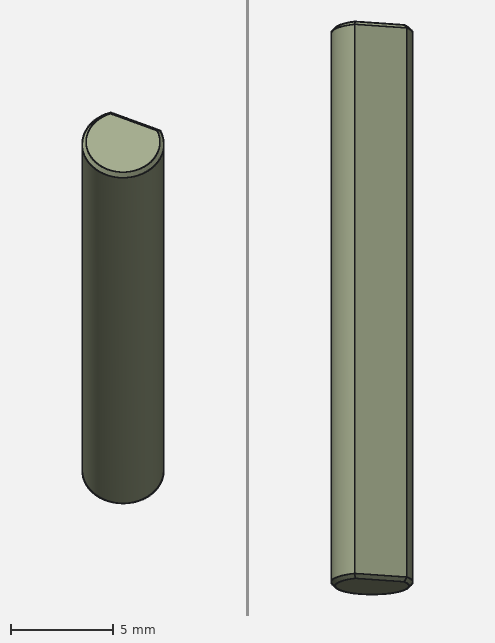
import cadquery as cq

length = 28.0
diameter = 4.0
depth_across_flat = 3.5
end_chamfer = 0.2

radius = diameter / 2
flat_y = depth_across_flat - radius

bar = cq.Workplane("XY").circle(radius).extrude(length)

flat_cutter = (
    cq.Workplane("XY")
    .box(diameter, diameter, length, centered=(True, False, False))
    .translate((0, flat_y, 0))
)
pin = bar.cut(flat_cutter)

result = pin.faces("<Z or >Z").edges().chamfer(end_chamfer)